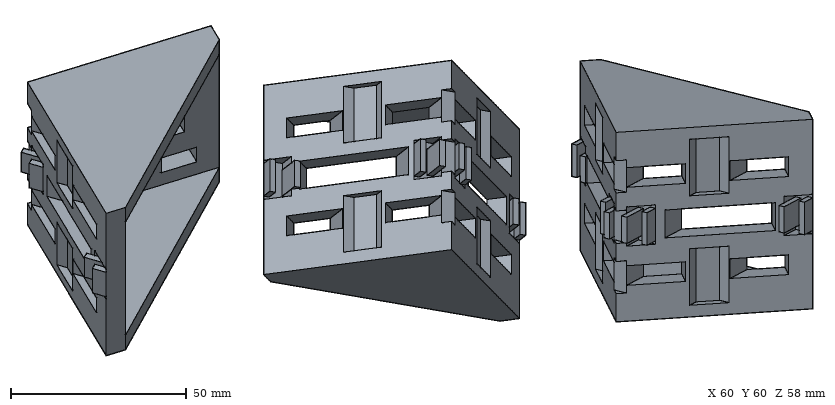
import cadquery as cq
import math

SIDE = 57.0
HEIGHT = 58.0
WALL = 6.0

SMALL_SLOT_SPANS = ((3.0, 20.1), (33.0, 50.0))
SMALL_SLOT_HEIGHT = 6.0
SMALL_SLOT_OFFSET = 15.0
LONG_SLOT_HEIGHT = 8.5
LONG_SLOT_END = 46.15
LONG_SLOT_START_FRONT = 14.1
LONG_SLOT_START_SIDE = 13.0

GROOVE_START = 21.3
GROOVE_WIDTH = 11.4
GROOVE_DEPTH = 2.3
GROOVE_HEIGHT = 17.3
GROOVE_OFFSET = 16.75

FLAT_LEG = 3.0
FLAT_HEIGHT = 9.85
FLAT_OFFSET = 15.4

CLIP_WIDTH = 8.4
CLIP_STARTS = (FLAT_LEG, SIDE - CLIP_WIDTH)
POCKET_HEIGHT = 12.0
TALL_TAB_HEIGHT = 9.95
SHORT_TAB_HEIGHT = 8.05
TAB_THICKNESS = 1.8
TAB_REACH = 3.0
LAST_TAB_SHIFT = 2.4
TAB_FOOTPRINT = TAB_THICKNESS * math.sqrt(2)

MIRROR_NORMAL = cq.Vector(1, -1, 0)


def prism(points, height, center_z=0.0):
    """Upright prism over an XY outline, centred on center_z."""
    base = cq.Workplane("XY").workplane(offset=center_z - height / 2)
    return base.polyline(points).close().extrude(height)


def bracket_body():
    """Triangular box, open on its diagonal side."""
    outline = [(0, 0), (SIDE, 0), (SIDE, WALL), (WALL, SIDE), (0, SIDE)]
    cavity = [(WALL, WALL), (SIDE, WALL), (SIDE, SIDE), (WALL, SIDE)]
    return prism(outline, HEIGHT).cut(prism(cavity, HEIGHT - 2 * WALL))


def slot(start, end, height, center_z=0.0):
    """Slot through the wall at Y = 0, slanted at its start."""
    outline = [(start, 0), (end, 0), (end, WALL), (start + WALL, WALL)]
    return prism(outline, height, center_z)


def groove(center_z):
    """Trapezoidal groove in the wall at Y = 0."""
    end = GROOVE_START + GROOVE_WIDTH
    outline = [
        (GROOVE_START, 0),
        (end, 0),
        (end - GROOVE_DEPTH, GROOVE_DEPTH),
        (GROOVE_START + GROOVE_DEPTH, GROOVE_DEPTH),
    ]
    return prism(outline, GROOVE_HEIGHT, center_z)


def pocket(start):
    """Right-angled V pocket in the wall at Y = 0."""
    half = CLIP_WIDTH / 2
    return prism([(start, 0), (start + CLIP_WIDTH, 0), (start + half, half)], POCKET_HEIGHT)


def tab(clip_start, face_x, height, tip_x):
    """Slanted tab square to the far flank of a pocket.

    Its far face crosses Y = 0 at face_x. Its square tip lies on the 45 degree
    plane that crosses Y = 0 at tip_x, its root on the pocket flank.
    """
    near_x = face_x - TAB_FOOTPRINT
    root_x = clip_start + CLIP_WIDTH
    corners = [(near_x, tip_x), (face_x, tip_x), (face_x, root_x), (near_x, root_x)]
    outline = [((a + b) / 2, (b - a) / 2) for a, b in corners]
    return prism(outline, height)


def wall_cuts(long_slot_start):
    """All openings of the wall at Y = 0."""
    cuts = slot(long_slot_start, LONG_SLOT_END, LONG_SLOT_HEIGHT)
    for side in (-1, 1):
        cuts = cuts.add(groove(side * GROOVE_OFFSET))
        for start, end in SMALL_SLOT_SPANS:
            cuts = cuts.add(slot(start, end, SMALL_SLOT_HEIGHT, side * SMALL_SLOT_OFFSET))
    for start in CLIP_STARTS:
        cuts = cuts.add(pocket(start))
    return cuts.combine()


def wall_tabs(last_short_tab_shift):
    """All tabs of the wall at Y = 0; the far short tab may sit nearer the corner."""
    tabs = cq.Workplane("XY")
    for start, shift in zip(CLIP_STARTS, (0.0, last_short_tab_shift)):
        short_face = start + TAB_FOOTPRINT
        tall_face = start + CLIP_WIDTH
        short_tip = short_face - 2 * TAB_REACH
        tall_tip = tall_face - 2 * TAB_REACH
        tabs = tabs.add(tab(start, short_face - shift, SHORT_TAB_HEIGHT, short_tip))
        tabs = tabs.add(tab(start, tall_face, TALL_TAB_HEIGHT, tall_tip))
    return tabs.combine()


def corner_flat(height, center_z):
    """Wedge that flattens a stretch of the outer corner edge."""
    return prism([(0, 0), (FLAT_LEG, 0), (0, FLAT_LEG)], height, center_z)


result = bracket_body()
result = result.cut(wall_cuts(LONG_SLOT_START_FRONT))
result = result.cut(wall_cuts(LONG_SLOT_START_SIDE).mirror(MIRROR_NORMAL))
for flat_z in (-FLAT_OFFSET, FLAT_OFFSET):
    result = result.cut(corner_flat(FLAT_HEIGHT, flat_z))
result = result.cut(corner_flat(TALL_TAB_HEIGHT, 0.0))
result = result.union(wall_tabs(0.0))
result = result.union(wall_tabs(LAST_TAB_SHIFT).mirror(MIRROR_NORMAL))